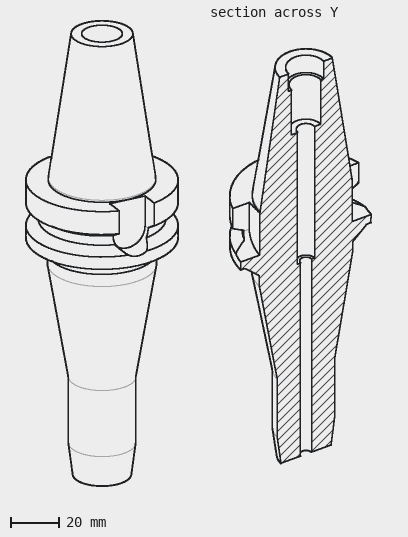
import cadquery as cq

total_length = 200.0

tip_radius = 12.2
nose_radius = 14.0
body_radius = 22.6
nose_taper_top = 14.5
nose_top = 44.5
body_taper_top = 95.6

flange_radius = 31.52
flange_cone_radius = 29.5
groove_radius = 26.5
flange_bottom = 101.0
flange_cone_top = 107.5
lower_rim_top = 113.0
groove_bottom = 116.0
groove_top = 120.3
upper_rim_bottom = 123.3
flange_top = 133.7

taper_bottom = 134.7
taper_large_radius = 22.2
taper_small_radius = 12.8

slot_width = 16.5
slot_floor_distance = 22.5
slot_bottom = 111.9

pilot_bore = (8.5, 9.0)
thread_bore = (7.0, 32.0)
feed_bore = (4.0, 100.0)
through_bore = (2.6, total_length)


def make_body():
    outline = [
        (0, 0),
        (tip_radius, 0),
        (nose_radius, nose_taper_top),
        (nose_radius, nose_top),
        (body_radius, body_taper_top),
        (body_radius, flange_bottom),
        (flange_cone_radius, flange_cone_top),
        (flange_radius, flange_cone_top),
        (flange_radius, lower_rim_top),
        (groove_radius, groove_bottom),
        (groove_radius, groove_top),
        (flange_radius, upper_rim_bottom),
        (flange_radius, flange_top),
        (taper_large_radius, flange_top),
        (taper_large_radius, taper_bottom),
        (taper_small_radius, total_length),
        (0, total_length),
    ]
    return cq.Workplane("XZ").polyline(outline).close().revolve(360, (0, 0), (0, 1))


def make_drive_slot(side):
    """Round-ended slot, open at the flange top; side is -1 or +1 along X."""
    half_width = slot_width / 2
    arc_center = slot_bottom + half_width
    return (
        cq.Workplane("YZ")
        .workplane(offset=side * slot_floor_distance)
        .moveTo(-half_width, flange_top)
        .lineTo(-half_width, arc_center)
        .threePointArc((0, slot_bottom), (half_width, arc_center))
        .lineTo(half_width, flange_top)
        .close()
        .extrude(side * (flange_radius - slot_floor_distance))
    )


def make_bore(radius, depth):
    return cq.Workplane("XY").workplane(offset=total_length).circle(radius).extrude(-depth)


result = make_body()
for slot_side in (-1, 1):
    result = result.cut(make_drive_slot(slot_side))
for bore_radius, bore_depth in (pilot_bore, thread_bore, feed_bore, through_bore):
    result = result.cut(make_bore(bore_radius, bore_depth))